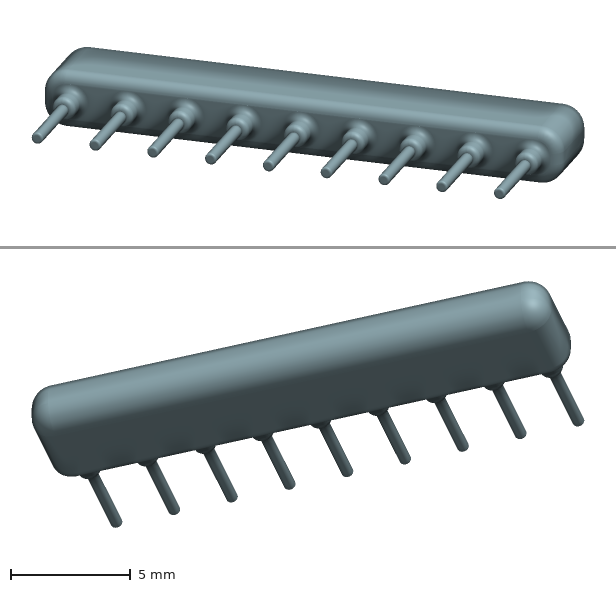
import math

import cadquery as cq

body_length = 22.8
body_depth = 4.0
body_height = 2.5
corner_radius = 1.0
front_edge_radius = corner_radius / 2

total_depth = 8.45
lead_length = total_depth - body_depth
lead_count = 9
lead_row_span = 20.32
lead_pitch = lead_row_span / (lead_count - 1)
lead_radius = 0.25
tip_round = 0.1

collar_radius = 2 * lead_radius
collar_length = 1.0
collar_round = collar_radius - lead_radius
flare_radius = 0.3
root_depth = body_depth / 4

DIAGONAL = math.sqrt(0.5)


def make_body():
    """Bar with rounded corners, a large round on the back edges and a smaller one on the front."""
    bar = cq.Workplane("XY").box(body_length, body_depth, body_height, centered=(True, False, True))
    bar = bar.edges("|Y").fillet(corner_radius)
    bar = bar.faces(">Y").edges().fillet(corner_radius)
    return bar.faces("<Y").edges().fillet(front_edge_radius)


def make_lead():
    """Collar and pin, turned around the Y axis; the root is buried in the body."""
    flare_outer = collar_radius + flare_radius
    flare_mid = (flare_outer - flare_radius * DIAGONAL, -flare_radius * (1 - DIAGONAL))
    round_start = collar_round - collar_length
    round_mid = (lead_radius + collar_round * DIAGONAL, round_start - collar_round * DIAGONAL)
    tip_start = tip_round - lead_length
    tip_flat = lead_radius - tip_round
    tip_mid = (tip_flat + tip_round * DIAGONAL, tip_start - tip_round * DIAGONAL)
    profile = (
        cq.Workplane("ZY")
        .moveTo(0, root_depth)
        .lineTo(flare_outer, root_depth)
        .lineTo(flare_outer, 0)
        .threePointArc(flare_mid, (collar_radius, -flare_radius))
        .lineTo(collar_radius, round_start)
        .threePointArc(round_mid, (lead_radius, -collar_length))
        .lineTo(lead_radius, tip_start)
        .threePointArc(tip_mid, (tip_flat, -lead_length))
        .lineTo(0, -lead_length)
        .close()
    )
    return profile.revolve(360, (0, 0, 0), (0, 1, 0))


lead = make_lead()
first_lead_x = -lead_row_span / 2

result = make_body()
for index in range(lead_count):
    result = result.union(lead.translate((first_lead_x + index * lead_pitch, 0, 0)))